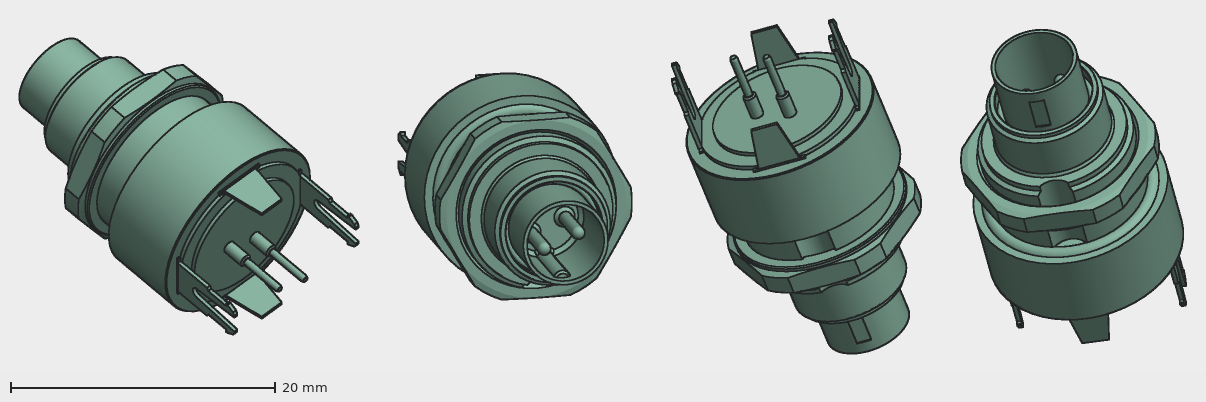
import cadquery as cq
import math


tube_dia = 6.6
bore_dia = 6.0
bore_floor_dia = 5.3
bore_floor_x = 6.9
bore_cone_length = 0.35

collar_x = 3.7
collar_dia = 8.3
collar_bore_dia = 7.5
collar_bore_chamfer = 0.05
neck_x = 4.03
neck_dia = 9.0
neck_chamfer = 0.15
neck_flare_dia = 9.32
neck_flare_length = 0.25
rim_x = 7.88
rim_dia = 11.17
thread_x = 8.37
thread_dia = 12.0
thread_chamfer = 0.15

o_ring_recess = 0.82
o_ring_section_dia = (collar_bore_dia - tube_dia) / 2
o_ring_mean_dia = (collar_bore_dia + tube_dia) / 2

housing_x = 14.45
housing_dia = 15.0
housing_end_x = 20.8
housing_chamfer = 0.08
seal_mean_dia = 12.6
seal_section_dia = 1.25
seal_protrusion = 0.3

keyway_radius = 1.5
keyway_axis_z = -6.5

nut_x = 9.43
nut_end_x = 11.17
nut_flats = 14.0
nut_corner_dia = housing_dia
nut_face_dia = 13.95
nut_chamfer = 0.14
nut_collar_dia = 13.8
nut_collar_end_x = 11.53
nut_collar_chamfer = 0.1
nut_countersink_dia = 12.48
nut_hole_dia = 11.4

key_x = 0.93
key_dia = 1.35
key_axis_z = -3.15
key_outer_dia = 6.15
key_chamfer = 0.2
key_slot_width = 1.15

foot_flare = 0.3

pin_centres = [(-1.58, 0.0), (1.05, -1.05)]
pin_dia = 1.0
pin_tip_x = 1.95
pin_shoulder_x = 23.4
pin_shoulder_chamfer = 0.14
tail_dia = 0.6
tail_end_x = 27.1
tail_tip_dia = 0.45
tail_tip_length = 0.22

plate_end_x = 21.12
plate_dia = 12.7
insert_end_x = 21.45
insert_dia = 10.25

tab_inner = 6.1
solder_tab_thickness = 0.25
solder_tab_end_x = 24.5
solder_tab_base_width = 3.22
solder_tab_tip_width = 2.07
clip_thickness = 0.33
clip_end_x = 27.25
clip_half_width = 1.7
clip_shoulder_x = 24.23
clip_waist_half_width = 1.42
barb_x = 26.32
barb_top_length = 0.15
barb_bend_x = 27.11
barb_bend_half_width = 1.34
tip_half_width = 1.04
fork_mouth_half_width = 0.85
fork_radius = 0.52
fork_centre_x = 23.15
pad_half_width = 2.07
pad_thickness = 0.27
pad_end_x = 20.95


def turned(points):
    """Revolve an outline of (x, radius) points around the connector axis."""
    return cq.Workplane("XY").polyline(points).close().revolve(360, (0, 0, 0), (1, 0, 0))


def rod(start_x, end_x, dia, z=0.0):
    """A cylinder parallel to X, at height z."""
    return cq.Workplane("YZ", origin=(start_x, 0, z)).circle(dia / 2).extrude(end_x - start_x)


def ring(centre_x, mean_dia, section_dia):
    """A torus around the connector axis."""
    solid = cq.Solid.makeTorus(
        mean_dia / 2, section_dia / 2, cq.Vector(centre_x, 0, 0), cq.Vector(1, 0, 0)
    )
    return cq.Workplane(obj=solid)


def make_body():
    """Stepped outside of the tube, collar, neck, threaded barrel and housing."""
    body = turned([
        (0, 0),
        (0, tube_dia / 2),
        (collar_x, tube_dia / 2),
        (collar_x, collar_dia / 2),
        (neck_x, collar_dia / 2),
        (neck_x + neck_chamfer, neck_dia / 2),
        (rim_x - neck_flare_length, neck_dia / 2),
        (rim_x, neck_flare_dia / 2),
        (rim_x, rim_dia / 2),
        (thread_x, rim_dia / 2),
        (thread_x + thread_chamfer, thread_dia / 2),
        (housing_x, thread_dia / 2),
        (housing_x, housing_dia / 2),
        (housing_end_x - housing_chamfer, housing_dia / 2),
        (housing_end_x, housing_dia / 2 - housing_chamfer),
        (housing_end_x, plate_dia / 2),
        (plate_end_x, plate_dia / 2),
        (plate_end_x, insert_dia / 2),
        (insert_end_x, insert_dia / 2),
        (insert_end_x, 0),
    ])
    bore = turned([
        (0, 0),
        (0, bore_dia / 2),
        (bore_floor_x - bore_cone_length, bore_dia / 2),
        (bore_floor_x, bore_floor_dia / 2),
        (bore_floor_x, 0),
    ])
    keyway = rod(rim_x, housing_x, 2 * keyway_radius, z=keyway_axis_z)
    seal = ring(housing_x - seal_protrusion + seal_section_dia / 2, seal_mean_dia, seal_section_dia)
    return body.cut(bore).cut(keyway).union(seal)


def foot(dia):
    """Cone that widens a rod of the given diameter where it meets the bore floor, on the axis."""
    start_x = bore_floor_x - foot_flare
    return turned([
        (start_x, 0),
        (start_x, dia / 2),
        (bore_floor_x, dia / 2 + foot_flare),
        (bore_floor_x, 0),
    ])


def seat_o_ring(body):
    """Open the gap inside the collar and lay the O-ring at its bottom."""
    o_ring_x = collar_x + o_ring_recess + o_ring_section_dia / 2
    gap = turned([
        (collar_x, tube_dia / 2),
        (collar_x, collar_bore_dia / 2 + collar_bore_chamfer),
        (collar_x + collar_bore_chamfer, collar_bore_dia / 2),
        (o_ring_x, collar_bore_dia / 2),
        (o_ring_x, tube_dia / 2),
    ])
    return body.cut(gap).union(ring(o_ring_x, o_ring_mean_dia, o_ring_section_dia))


def add_key(body):
    """Half-round key along the bore, above a slot in the tube wall."""
    slot = cq.Workplane("XY").box(
        collar_x - key_x, key_slot_width, tube_dia / 2 + key_axis_z, centered=(False, True, False)
    ).translate((key_x, 0, -tube_dia / 2))
    key = rod(key_x, bore_floor_x, key_dia).faces("<X").chamfer(key_chamfer)
    key = key.union(foot(key_dia)).translate((0, 0, key_axis_z))
    key = key.intersect(rod(key_x, bore_floor_x, key_outer_dia))
    return body.cut(slot).union(key)


def make_nut():
    """Hexagon nut with turned-down corners, a rear collar and a countersunk front."""
    hexagon = (
        cq.Workplane("YZ", origin=(nut_x, 0, 0))
        .polygon(6, nut_flats / math.cos(math.pi / 6))
        .extrude(nut_end_x - nut_x)
    )
    corner_limit = turned([
        (nut_x, 0),
        (nut_x, nut_face_dia / 2),
        (nut_x + nut_chamfer, nut_corner_dia / 2),
        (nut_end_x - nut_chamfer, nut_corner_dia / 2),
        (nut_end_x, nut_face_dia / 2),
        (nut_end_x, 0),
    ])
    collar = rod(nut_end_x, nut_collar_end_x, nut_collar_dia).faces(">X").chamfer(nut_collar_chamfer)
    countersink_depth = (nut_countersink_dia - nut_hole_dia) / 2
    hole = turned([
        (nut_x, 0),
        (nut_x, nut_countersink_dia / 2),
        (nut_x + countersink_depth, nut_hole_dia / 2),
        (nut_collar_end_x, nut_hole_dia / 2),
        (nut_collar_end_x, 0),
    ])
    return hexagon.intersect(corner_limit).union(collar).cut(hole)


def make_pin(y, z):
    """Contact pin: round nose, conical foot on the bore floor, shoulder and thin tail."""
    contact = rod(pin_tip_x, pin_shoulder_x, pin_dia).faces(">X").chamfer(pin_shoulder_chamfer)
    nose_x = pin_tip_x + pin_dia / 2
    contact = contact.cut(rod(pin_tip_x, nose_x, pin_dia))
    nose = cq.Workplane("XY").sphere(pin_dia / 2).translate((nose_x, 0, 0))
    tail = turned([
        (insert_end_x, 0),
        (insert_end_x, tail_dia / 2),
        (tail_end_x - tail_tip_length, tail_dia / 2),
        (tail_end_x, tail_tip_dia / 2),
        (tail_end_x, 0),
    ])
    return contact.union(nose).union(foot(pin_dia)).union(tail).translate((0, y, z))


def make_solder_tab():
    """Tapered flat tab on the +Z side."""
    return (
        cq.Workplane("XY", origin=(0, 0, tab_inner))
        .moveTo(pad_end_x, -solder_tab_base_width / 2)
        .lineTo(plate_end_x, -solder_tab_base_width / 2)
        .lineTo(solder_tab_end_x, -solder_tab_tip_width / 2)
        .lineTo(solder_tab_end_x, solder_tab_tip_width / 2)
        .lineTo(plate_end_x, solder_tab_base_width / 2)
        .lineTo(pad_end_x, solder_tab_base_width / 2)
        .close()
        .extrude(solder_tab_thickness)
    )


def make_clip():
    """Forked snap-in clip with two barbed legs on the -Y side."""
    waist_step = clip_half_width - clip_waist_half_width
    upper_edge = [
        (pad_end_x, clip_half_width),
        (clip_shoulder_x, clip_half_width),
        (clip_shoulder_x + waist_step / 2, clip_waist_half_width),
        (barb_x, clip_waist_half_width),
        (barb_x, clip_half_width),
        (barb_x + barb_top_length, clip_half_width),
        (barb_bend_x, barb_bend_half_width),
        (clip_end_x, tip_half_width),
        (clip_end_x, fork_mouth_half_width),
        (fork_centre_x, fork_radius),
    ]
    lower_edge = [(x, -z) for x, z in reversed(upper_edge)]
    return (
        cq.Workplane("XZ", origin=(0, -tab_inner, 0))
        .polyline(upper_edge)
        .threePointArc((fork_centre_x - fork_radius, 0), lower_edge[0])
        .polyline(lower_edge[1:], includeCurrent=True)
        .close()
        .extrude(clip_thickness)
    )


def make_pad():
    """Wider foot of a tab where it meets the housing, on the +Z side."""
    return cq.Workplane("XY").box(
        pad_end_x - housing_end_x, 2 * pad_half_width, pad_thickness, centered=(False, True, False)
    ).translate((housing_end_x, 0, tab_inner))


def around_axis(solid, angle):
    """Turn a solid about the connector axis."""
    return solid.rotate((0, 0, 0), (1, 0, 0), angle)


result = add_key(seat_o_ring(make_body())).union(make_nut())

for pin_y, pin_z in pin_centres:
    result = result.union(make_pin(pin_y, pin_z))

for side in (0, 180):
    result = result.union(around_axis(make_solder_tab(), side))
    result = result.union(around_axis(make_clip(), side))

for side in (0, 90, 180, 270):
    result = result.union(around_axis(make_pad(), side))